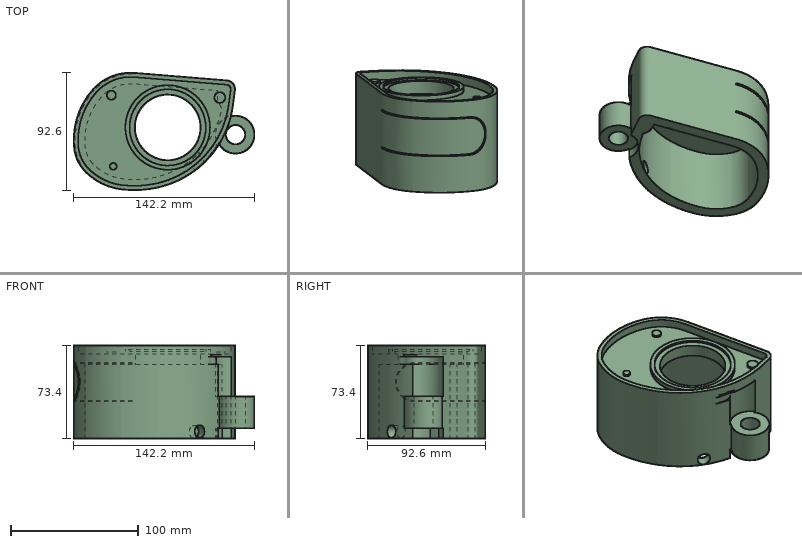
import cadquery as cq
import math


BODY_HEIGHT = 73.4
CORNER = (53.9, 36.4)
CORNER_RADIUS = 7.0
STRAIGHT_END = (-26.0, 43.0)
ARC_ENDS = [
    (-58.7, 29.9),
    (-73.7, -15.4),
    (-64.1, -35.4),
    (-36.3, -48.8),
    (-7.3, -47.2),
    (51.0, 15.2),
]
RIM_WALL = 3.4
FLOOR_DEPTH = 6.8
FLOOR_Z = BODY_HEIGHT - FLOOR_DEPTH

AXIS = (0, 0)

BORE_RADIUS = 25.7
RING_OUTER_RADIUS = 33.3
RING_INNER_RADIUS = 30.0
RING_HEIGHT = 3.5
RING_STEP = 1.5

PINS = [(-44.2, 25.3, 3.5), (-42.8, -30.6, 2.7), (41.0, 23.5, 4.3)]
PIN_HEIGHT = 1.5

CEILING_THICKNESS = 8.1
CEILING_Z = FLOOR_Z - CEILING_THICKNESS
CAVITY_WALL = 8.5
BLOCK_SIDE_X = 39.1
BLOCK_SIDE_END_Y = 20.6
BLOCK_SLANT = math.radians(58.5)
BLOCK_REACH = 42.7

LUG_CENTER = (53.3, -5.7)
LUG_RADIUS = 15.0
LUG_HOLE_RADIUS = 7.5
LUG_BOTTOM = 8.1
LUG_TOP = LUG_BOTTOM + 25.0

CLEARANCE_RADIUS = 15.9
CLEARANCE_TOP = 64.3
CHORD_FACING = 145
CHORD_HALF_ANGLE = math.radians(15)

ARM_CENTER = (47.4, -30.1)
ARM_RADIUS = 16.2
ARM_BOTTOM = 58.3
ARM_BLEND_RADIUS = 10.0

KEY_TOP = 66.0
KEY_POINTS = [(33.5, -20.8), (34.8, -18.6), (43.5, -9.0), (51.2, -28.5)]

CROSS_HOLE_RADIUS = 5.0
CROSS_HOLE_MOUTH = (25.6, -31.4, 5.5)
CROSS_HOLE_ANGLE = math.radians(32)
CROSS_HOLE_DEPTH = 17.0
CROSS_HOLE_OVERRUN = 7.1

PANEL_CENTER_Z = 44.7
PANEL_HALF_HEIGHT = 15.4
PANEL_END_Y = -27.9
PANEL_REACH = 85.3
GROOVE_WIDTH = 0.9
GROOVE_DEPTH = 0.9


def body_prism(height):
    outline = cq.Workplane("XY").moveTo(*CORNER).lineTo(*STRAIGHT_END)
    for end in ARC_ENDS:
        outline = outline.tangentArcPoint(end, relative=False)
    corner_edge = cq.selectors.NearestToPointSelector((*CORNER, height / 2))
    return outline.close().extrude(height).edges(corner_edge).fillet(CORNER_RADIUS)


def inset_prism(inset, bottom, top):
    """Solid between two heights with the body outline moved inward."""
    outline = body_prism(BODY_HEIGHT).faces("<Z").wires().val().offset2D(-inset)[0]
    solid = cq.Solid.extrudeLinear(outline, [], cq.Vector(0, 0, top - bottom))
    return cq.Workplane(solid).translate((0, 0, bottom))


def cylinder(center, radius, bottom, top):
    return cq.Workplane("XY", origin=(*center, bottom)).circle(radius).extrude(top - bottom)


def polygon_prism(points, bottom, top):
    return cq.Workplane("XY", origin=(0, 0, bottom)).polyline(points).close().extrude(top - bottom)


def tray_details():
    ring_top = FLOOR_Z + RING_HEIGHT
    details = cylinder(AXIS, RING_OUTER_RADIUS, FLOOR_Z, ring_top)
    details = details.cut(cylinder(AXIS, RING_INNER_RADIUS, ring_top - RING_STEP, ring_top))
    for x, y, radius in PINS:
        details = details.union(cylinder((x, y), radius, FLOOR_Z, FLOOR_Z + PIN_HEIGHT))
    return details


def cavity():
    """Space under the floor, open at the bottom, with a solid block left in the corner."""
    far_end = (
        BLOCK_SIDE_X + BLOCK_REACH * math.cos(BLOCK_SLANT),
        BLOCK_SIDE_END_Y - BLOCK_REACH * math.sin(BLOCK_SLANT),
    )
    block = polygon_prism(
        [(BLOCK_SIDE_X, CORNER[1]), (BLOCK_SIDE_X, BLOCK_SIDE_END_Y), far_end, (far_end[0], CORNER[1])],
        0,
        CEILING_Z,
    )
    return inset_prism(CAVITY_WALL, 0, CEILING_Z).cut(block)


def upper_clearance():
    lug_swing = cylinder(LUG_CENTER, CLEARANCE_RADIUS, LUG_TOP, CLEARANCE_TOP)
    arm_swing = cylinder(ARM_CENTER, ARM_RADIUS, ARM_BOTTOM, CLEARANCE_TOP)
    arm_level = cylinder(LUG_CENTER, CLEARANCE_RADIUS, ARM_BOTTOM, CLEARANCE_TOP).union(arm_swing)
    arm_level = arm_level.edges("|Z").edges("<X").fillet(ARM_BLEND_RADIUS)
    return lug_swing.union(arm_level)


def lower_clearance():
    """Clearance below the lug, with one flat chord on its inner side."""
    chord_distance = CLEARANCE_RADIUS * math.cos(CHORD_HALF_ANGLE)
    flat_side = (
        cq.Workplane("XY")
        .rect(2 * CLEARANCE_RADIUS, 2 * CLEARANCE_RADIUS)
        .extrude(LUG_BOTTOM)
        .translate((chord_distance + CLEARANCE_RADIUS, 0, 0))
        .rotate((0, 0, 0), (0, 0, 1), CHORD_FACING)
        .translate((*LUG_CENTER, 0))
    )
    return cylinder(LUG_CENTER, CLEARANCE_RADIUS, 0, LUG_BOTTOM).cut(flat_side)


def cross_hole():
    outward = cq.Vector(math.sin(CROSS_HOLE_ANGLE), -math.cos(CROSS_HOLE_ANGLE), 0)
    start = cq.Vector(*CROSS_HOLE_MOUTH) - outward * CROSS_HOLE_DEPTH
    length = CROSS_HOLE_DEPTH + CROSS_HOLE_OVERRUN
    return cq.Workplane(cq.Solid.makeCylinder(CROSS_HOLE_RADIUS, length, start, outward))


def panel_shape(margin):
    """Round-ended panel, shrunk by a margin, from the end of the straight side toward -X."""
    radius = PANEL_HALF_HEIGHT - margin
    arc_y = PANEL_END_Y + PANEL_HALF_HEIGHT
    return (
        cq.Workplane("YZ", origin=(STRAIGHT_END[0], 0, PANEL_CENTER_Z))
        .moveTo(PANEL_REACH, radius)
        .lineTo(arc_y, radius)
        .threePointArc((arc_y - radius, 0), (arc_y, -radius))
        .lineTo(PANEL_REACH, -radius)
        .close()
        .extrude(-PANEL_REACH)
    )


def panel_groove():
    skin = body_prism(BODY_HEIGHT).cut(inset_prism(GROOVE_DEPTH, 0, BODY_HEIGHT))
    return panel_shape(0).cut(panel_shape(GROOVE_WIDTH)).intersect(skin)


body = body_prism(BODY_HEIGHT)
body = body.cut(inset_prism(RIM_WALL, FLOOR_Z, BODY_HEIGHT))
body = body.cut(cavity())
body = body.union(tray_details())
body = body.cut(cylinder(AXIS, BORE_RADIUS, 0, BODY_HEIGHT))
body = body.cut(upper_clearance())
body = body.cut(lower_clearance())
body = body.cut(polygon_prism(KEY_POINTS, CLEARANCE_TOP, KEY_TOP))
body = body.cut(cross_hole())
body = body.cut(panel_groove())
body = body.union(cylinder(LUG_CENTER, LUG_RADIUS, LUG_BOTTOM, LUG_TOP))
result = body.cut(cylinder(LUG_CENTER, LUG_HOLE_RADIUS, LUG_BOTTOM, LUG_TOP))